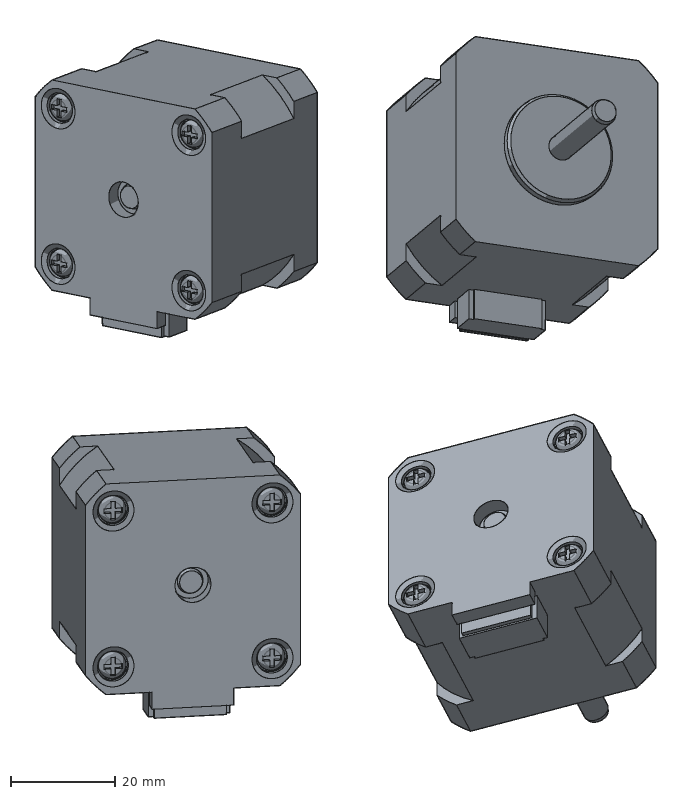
import cadquery as cq


FRAME_SIZE = 42.0
FRAME_LENGTH = 34.3
REAR_CAP_LENGTH = 9.7
FRONT_CAP_LENGTH = 7.7
CAP_DIAMETER = 54.0
STACK_DIAMETER = 49.95

BOSS_DIAMETER = 21.9
BOSS_HEIGHT = 2.0
BOSS_CHAMFER = 0.5

OVERALL_LENGTH = 58.3
SHAFT_DIAMETER = 5.0
SHAFT_CHAMFER_LENGTH = 0.9
SHAFT_CHAMFER_DEPTH = 0.3
REAR_BORE_DIAMETER = 7.0
REAR_BORE_DEPTH = 3.0
SHAFT_REAR = 2.05

SCREW_SPACING = 31.0
SINK_DIAMETER = 8.0
SINK_BORE_DIAMETER = 6.0
SINK_CONE_DEPTH = 0.5
SINK_DEPTH = 1.45
HEAD_DIAMETER = 5.35
HEAD_TOP = 0.25
HEAD_ROUNDING = 1.0
CROSS_LENGTH = 3.6
CROSS_WIDTH = 0.95
CROSS_DEPTH = 0.9

CONNECTOR_WIDTH = 15.9
CONNECTOR_DROP = 6.0
BLOCK_REAR = 3.95
BLOCK_FRONT = REAR_CAP_LENGTH
LIP_THICKNESS = 0.45
PLATE_INSET = 0.95
PLATE_THICKNESS = 0.75
TAB_LENGTH = 2.8
TAB_DROP = 3.4

FRAME_BOTTOM = -FRAME_SIZE / 2
STACK_LENGTH = FRAME_LENGTH - REAR_CAP_LENGTH - FRONT_CAP_LENGTH


def box_between(x_size, y_start, y_end, z_bottom, z_top):
    """Box centred on X = 0."""
    return cq.Workplane("XY").box(
        x_size, y_end - y_start, z_top - z_bottom, centered=(True, False, False)
    ).translate((0, y_start, z_bottom))


def disc(diameter, y_start, length):
    """Cylinder on the motor axis."""
    return cq.Workplane("XZ", origin=(0, y_start, 0)).circle(diameter / 2).extrude(-length)


def frame_section(corner_diameter, y_start, length):
    """Square block whose corners are rounded about the motor axis."""
    half = FRAME_SIZE / 2
    block = box_between(FRAME_SIZE, y_start, y_start + length, -half, half)
    return block.intersect(disc(corner_diameter, y_start, length))


def pilot_boss():
    return disc(BOSS_DIAMETER, FRAME_LENGTH, BOSS_HEIGHT).faces(">Y").chamfer(BOSS_CHAMFER)


def screw_sink():
    """Round recess with a conical mouth at Y = 0, for one screw head."""
    bore_radius = SINK_BORE_DIAMETER / 2
    outline = [
        (0, 0),
        (SINK_DIAMETER / 2, 0),
        (bore_radius, SINK_CONE_DEPTH),
        (bore_radius, SINK_DEPTH),
        (0, SINK_DEPTH),
    ]
    return cq.Workplane("XY").polyline(outline).close().revolve(360, (0, 0, 0), (0, 1, 0))


def screw_head():
    """Rounded head standing on the floor of its recess, with a cross drive."""
    head = disc(HEAD_DIAMETER, HEAD_TOP, SINK_DEPTH - HEAD_TOP).faces("<Y").edges().fillet(HEAD_ROUNDING)
    drive = cq.Workplane("XZ", origin=(0, HEAD_TOP, 0))
    slot_across = drive.rect(CROSS_LENGTH, CROSS_WIDTH).extrude(-CROSS_DEPTH)
    slot_upright = drive.rect(CROSS_WIDTH, CROSS_LENGTH).extrude(-CROSS_DEPTH)
    return head.cut(slot_across).cut(slot_upright)


def connector():
    """Tab below the rear cap, a thin plate against it, and the plug block with its narrower front lip."""
    drop_z = FRAME_BOTTOM - CONNECTOR_DROP
    tab = box_between(CONNECTOR_WIDTH, 0, TAB_LENGTH, FRAME_BOTTOM - TAB_DROP, FRAME_BOTTOM)
    narrow_width = CONNECTOR_WIDTH - 2 * PLATE_INSET
    plate = box_between(narrow_width, TAB_LENGTH, TAB_LENGTH + PLATE_THICKNESS, drop_z, FRAME_BOTTOM)
    block = box_between(CONNECTOR_WIDTH, BLOCK_REAR, BLOCK_FRONT, drop_z, FRAME_BOTTOM)
    lip = box_between(narrow_width, BLOCK_FRONT, BLOCK_FRONT + LIP_THICKNESS, drop_z, FRAME_BOTTOM)
    return tab.union(plate).union(block).union(lip)


def make_shaft():
    """Shaft with both ends tapered."""
    radius = SHAFT_DIAMETER / 2
    tip_radius = radius - SHAFT_CHAMFER_DEPTH
    outline = [
        (0, SHAFT_REAR),
        (tip_radius, SHAFT_REAR),
        (radius, SHAFT_REAR + SHAFT_CHAMFER_LENGTH),
        (radius, OVERALL_LENGTH - SHAFT_CHAMFER_LENGTH),
        (tip_radius, OVERALL_LENGTH),
        (0, OVERALL_LENGTH),
    ]
    return cq.Workplane("XY").polyline(outline).close().revolve(360, (0, 0, 0), (0, 1, 0))


def make_motor():
    rear_cap = frame_section(CAP_DIAMETER, 0, REAR_CAP_LENGTH)
    stack = frame_section(STACK_DIAMETER, REAR_CAP_LENGTH, STACK_LENGTH)
    front_cap = frame_section(CAP_DIAMETER, FRAME_LENGTH - FRONT_CAP_LENGTH, FRONT_CAP_LENGTH)
    motor = rear_cap.union(stack).union(front_cap).union(pilot_boss()).union(connector())
    motor = motor.cut(disc(REAR_BORE_DIAMETER, 0, REAR_BORE_DEPTH))
    motor = motor.cut(disc(SHAFT_DIAMETER, 0, FRAME_LENGTH + BOSS_HEIGHT))
    half = SCREW_SPACING / 2
    for x in (-half, half):
        for z in (-half, half):
            motor = motor.cut(screw_sink().translate((x, 0, z)))
            motor = motor.union(screw_head().translate((x, 0, z)))
    return motor


motor = make_motor()
shaft = make_shaft()
result = cq.Compound.makeCompound([motor.val(), shaft.val()])